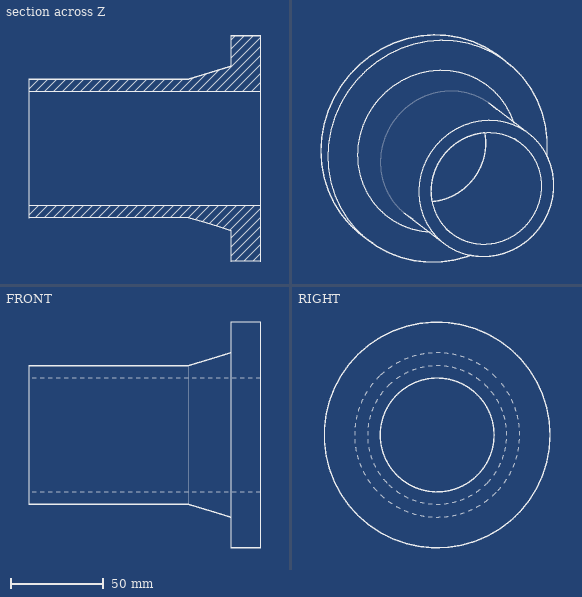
import cadquery as cq

total_length = 125.0
flange_diameter = 122.0
flange_thickness = 16.0
pipe_diameter = 75.0
bore_diameter = 61.4
neck_large_diameter = 89.0
neck_length = 23.0

flange_start = total_length - flange_thickness
neck_start = flange_start - neck_length

pipe_radius = pipe_diameter / 2
bore_radius = bore_diameter / 2
neck_large_radius = neck_large_diameter / 2
flange_radius = flange_diameter / 2

half_section = (
    cq.Workplane("XY")
    .moveTo(0, bore_radius)
    .lineTo(0, pipe_radius)
    .lineTo(neck_start, pipe_radius)
    .lineTo(flange_start, neck_large_radius)
    .lineTo(flange_start, flange_radius)
    .lineTo(total_length, flange_radius)
    .lineTo(total_length, bore_radius)
    .close()
)

result = half_section.revolve(360, (0, 0, 0), (1, 0, 0))